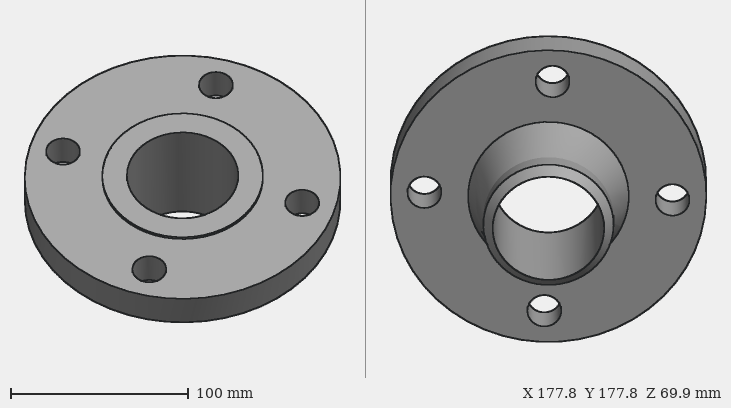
import cadquery as cq

flange_diameter = 177.8
flange_thickness = 20.9
face_diameter = 90.5
face_height = 1.6

neck_diameter = 73.3
neck_height = 10.9
bevel_size = 5.2
overall_height = 69.91
bore_diameter = 62.7

taper_top_angle = -22.5
taper_bottom_angle = -41.5

bolt_hole_diameter = 19.05
bolt_circle_diameter = 139.7
bolt_count = 4
first_bolt_angle = 45.0

neck_top = bevel_size + neck_height
flange_top = overall_height - face_height
flange_bottom = flange_top - flange_thickness


def disc(diameter, bottom, top):
    return cq.Workplane("XY").workplane(offset=bottom).circle(diameter / 2).extrude(top - bottom)


def half_arc(diameter, height, start_angle):
    """Half circle about the Z axis, starting at the given angle."""
    return cq.Edge.makeCircle(
        diameter / 2, cq.Vector(0, 0, height), cq.Vector(0, 0, 1), start_angle, start_angle + 180
    )


def make_taper():
    """Twisted hub between the neck and the plate, closed from two ruled half sides."""
    bottom_arcs = []
    top_arcs = []
    sides = []
    for turn in (0, 180):
        bottom_arc = half_arc(neck_diameter, neck_top, taper_bottom_angle + turn)
        top_arc = half_arc(face_diameter, flange_bottom, taper_top_angle + turn)
        bottom_arcs.append(bottom_arc)
        top_arcs.append(top_arc)
        sides.append(cq.Face.makeRuledSurface(bottom_arc, top_arc))
    caps = [cq.Face.makeFromWires(cq.Wire.assembleEdges(arcs)) for arcs in (bottom_arcs, top_arcs)]
    return cq.Workplane(cq.Solid.makeSolid(cq.Shell.makeShell(sides + caps)))


def make_neck():
    return disc(neck_diameter, 0, neck_top).faces("<Z").chamfer(bevel_size)


def make_bolt_holes():
    return (
        cq.Workplane("XY")
        .workplane(offset=flange_bottom)
        .polarArray(bolt_circle_diameter / 2, first_bolt_angle, 360, bolt_count)
        .circle(bolt_hole_diameter / 2)
        .extrude(flange_thickness)
    )


plate = disc(flange_diameter, flange_bottom, flange_top)
raised_face = disc(face_diameter, flange_top, overall_height)
bore = disc(bore_diameter, 0, overall_height)

body = plate.union(raised_face).union(make_taper()).union(make_neck())
result = body.cut(bore).cut(make_bolt_holes())